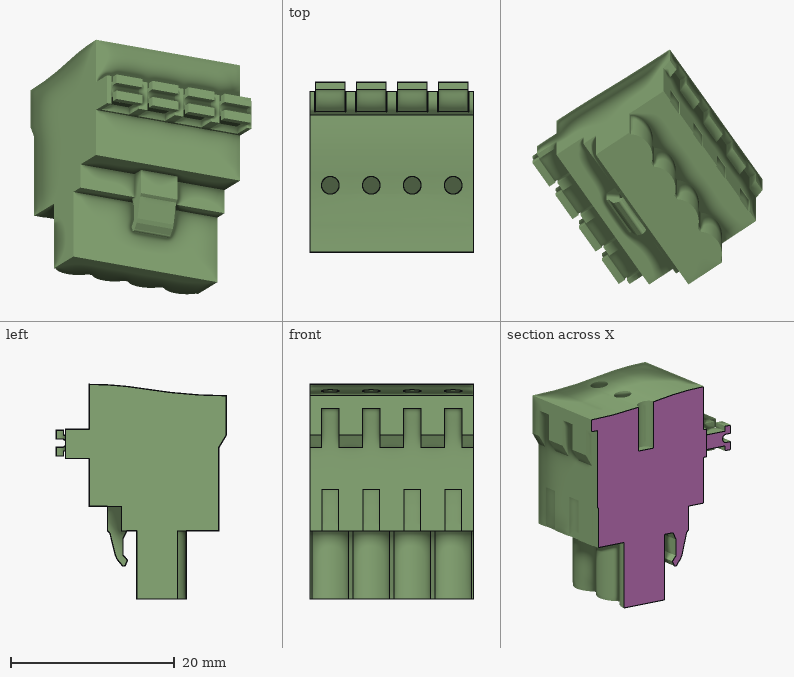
import cadquery as cq
import math


pole_count = 4
width = 20.0
pitch = width / pole_count
pole_xs = [(i - (pole_count - 1) / 2) * pitch for i in range(pole_count)]

height = 26.25
front_top_z = 24.85
front_y = 0.92
chamfer_top_z = 20.02
chamfer_bottom_z = 18.5
base_z = 8.35
back_y = 16.77
back_step_y = 12.78
back_step_z = 11.34
bend_y = 9.85

plug_front_y = 5.95
plug_back_y = 10.95
bulge_width = 4.45
bulge_rise = 1.08

ledge_back_y = 19.65
ledge_bottom_z = 17.15
ledge_top_z = 20.75

wire_hole_diameter = 2.15
wire_hole_y = 8.2
wire_hole_floor_z = 19.68

window_width = 2.15
window_top_z = 23.27
recess_width = 2.0
recess_top_z = 13.38
recess_depth = 0.1

hook_width = pitch
hook_back_y = 14.5
hook_inner_y = 12.6
hook_root_y = 12.15
hook_root_z = 7.43
hook_shoulder_y = 14.22
hook_shoulder_z = 8.03
hook_bend_y = 13.57
hook_knuckle_y = 13.35
hook_knuckle_z = 4.88
hook_tip_back = (12.8, 4.22)
hook_tip = (12.6, 4.05)
hook_tip_front = (12.28, 4.25)
barb_top_z = 5.38
barb_point_y = 12.05
barb_point_z = 4.75

tab_width = 3.62
tab_side_gap = 0.08
tab_front_y = 17.2
tab_mid_z = 19.05
neck_height = 1.95
head_height = 3.18
head_front_y = 19.86
head_back_y = 20.78
groove_radius = 0.5
groove_y = 20.07


def box(x_mid, x_size, y_min, y_max, z_min, z_max):
    """Box centred on x_mid along X, between the given Y and Z limits."""
    block = cq.Workplane("XY").box(x_size, y_max - y_min, z_max - z_min, centered=(True, False, False))
    return block.translate((x_mid, y_min, z_min))


def arc_middle(run, rise):
    """Middle point of an arc that leaves the origin level and ends at (run, rise)."""
    radius = (run**2 + rise**2) / (2 * rise)
    half_sweep = math.atan2(rise, run)
    return radius * math.sin(half_sweep), radius * (1 - math.cos(half_sweep))


def make_shell():
    """Main block, with an S-shaped top of two arcs that are level at the front and back."""
    top_drop = height - front_top_z
    hollow_rise = top_drop * bend_y / back_y
    crown_drop = top_drop - hollow_rise
    hollow_dy, hollow_dz = arc_middle(bend_y, hollow_rise)
    crown_dy, crown_dz = arc_middle(back_y - bend_y, crown_drop)
    return (
        cq.Workplane("YZ")
        .moveTo(back_step_y, base_z)
        .lineTo(front_y, base_z)
        .lineTo(front_y, chamfer_bottom_z)
        .lineTo(0, chamfer_top_z)
        .lineTo(0, front_top_z)
        .threePointArc((hollow_dy, front_top_z + hollow_dz), (bend_y, front_top_z + hollow_rise))
        .threePointArc((back_y - crown_dy, height - crown_dz), (back_y, height))
        .lineTo(back_y, back_step_z)
        .lineTo(back_step_y, back_step_z)
        .close()
        .extrude(width / 2, both=True)
    )


def make_plug():
    """Plug bar with one rounded bulge per pole along its front."""
    plug = box(0, width, plug_front_y, plug_back_y, 0, base_z)
    for x in pole_xs:
        bulge = (
            cq.Workplane("XY")
            .moveTo(x - bulge_width / 2, plug_front_y)
            .threePointArc((x, plug_front_y - bulge_rise), (x + bulge_width / 2, plug_front_y))
            .close()
            .extrude(base_z)
        )
        plug = plug.union(bulge)
    return plug


def make_hook():
    """Latch hook that hangs in the back step and points at the plug."""
    return (
        cq.Workplane("YZ")
        .moveTo(back_step_y, back_step_z)
        .lineTo(hook_back_y, back_step_z)
        .lineTo(hook_back_y, base_z)
        .lineTo(hook_shoulder_y, hook_shoulder_z)
        .lineTo(hook_bend_y, barb_top_z)
        .lineTo(hook_knuckle_y, hook_knuckle_z)
        .lineTo(*hook_tip_back)
        .threePointArc(hook_tip, hook_tip_front)
        .lineTo(barb_point_y, barb_point_z)
        .lineTo(hook_inner_y, barb_top_z)
        .lineTo(hook_inner_y, hook_root_z)
        .lineTo(hook_root_y, base_z)
        .lineTo(back_step_y, base_z)
        .close()
        .extrude(hook_width / 2, both=True)
    )


def cut_front_recesses(body):
    """Windows that bring the upper front back to the lower front face, and shallow recesses below."""
    for x in pole_xs:
        body = body.cut(box(x, window_width, 0, front_y, chamfer_bottom_z, window_top_z))
        body = body.cut(box(x, recess_width, front_y, front_y + recess_depth, base_z, recess_top_z))
    return body


def cut_wire_holes(body):
    """Vertical round holes from the top, one per pole."""
    holes = (
        cq.Workplane("XY", origin=(0, 0, wire_hole_floor_z))
        .pushPoints([(x, wire_hole_y) for x in pole_xs])
        .circle(wire_hole_diameter / 2)
        .extrude(height - wire_hole_floor_z)
    )
    return body.cut(holes)


def cut_tab_slots(body):
    """Slots through the height of the ledge, open at the back, one per release tab."""
    slot_width = tab_width + 2 * tab_side_gap
    for x in pole_xs:
        body = body.cut(box(x, slot_width, tab_front_y, ledge_back_y, ledge_bottom_z, ledge_top_z))
    return body


def make_housing():
    ledge = box(0, width, back_y, ledge_back_y, ledge_bottom_z, ledge_top_z)
    body = make_shell().union(make_plug()).union(ledge).union(make_hook())
    body = cut_front_recesses(body)
    body = cut_wire_holes(body)
    return cut_tab_slots(body)


def make_release_tab(x):
    """Flat neck that butts against its slot, and a taller head with a round-bottomed groove across it."""
    neck = box(x, tab_width, tab_front_y, head_front_y, tab_mid_z - neck_height / 2, tab_mid_z + neck_height / 2)
    head = box(
        x, tab_width, head_front_y, head_back_y, tab_mid_z - head_height / 2, tab_mid_z + head_height / 2
    )
    groove = box(x, tab_width, groove_y, head_back_y, tab_mid_z - groove_radius, tab_mid_z + groove_radius)
    groove_bottom = (
        cq.Workplane("YZ", origin=(x, groove_y, tab_mid_z))
        .circle(groove_radius)
        .extrude(tab_width / 2, both=True)
    )
    return neck.union(head).cut(groove).cut(groove_bottom)


housing = make_housing()
release_tabs = [make_release_tab(x) for x in pole_xs]

result = cq.Compound.makeCompound([housing.val(), *[tab.val() for tab in release_tabs]])